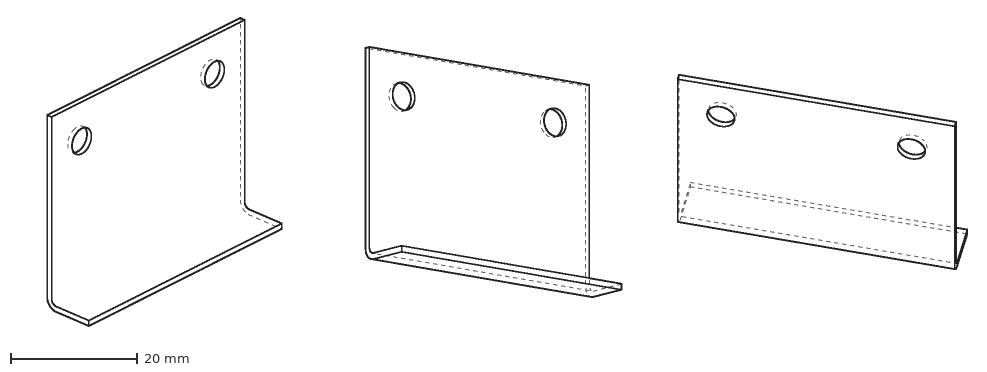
import cadquery as cq

length = 45.0
flange_depth = 9.0
height = 34.5

sheet = 1.0
inner_bend_radius = 1.0
outer_bend_radius = inner_bend_radius + sheet

hole_diameter = 4.5
hole_edge_offset = 7.0


def make_bent_sheet():
    """L-shaped sheet: upright wall at X = 0 and foot flange at Z = 0."""
    wall = cq.Workplane("XY").box(sheet, length, height, centered=(False, True, False))
    foot = cq.Workplane("XY").box(flange_depth, length, sheet, centered=(False, True, False))
    bracket = wall.union(foot)
    inner_edge = cq.selectors.NearestToPointSelector((sheet, 0, sheet))
    bracket = bracket.edges(inner_edge).fillet(inner_bend_radius)
    return bracket.edges(cq.selectors.NearestToPointSelector((0, 0, 0))).fillet(outer_bend_radius)


def make_hole_cutters():
    """Two through holes near the upper corners of the wall."""
    hole_y = length / 2 - hole_edge_offset
    hole_z = height - hole_edge_offset
    return (
        cq.Workplane("YZ")
        .pushPoints([(-hole_y, hole_z), (hole_y, hole_z)])
        .circle(hole_diameter / 2)
        .extrude(sheet)
    )


result = make_bent_sheet().cut(make_hole_cutters())